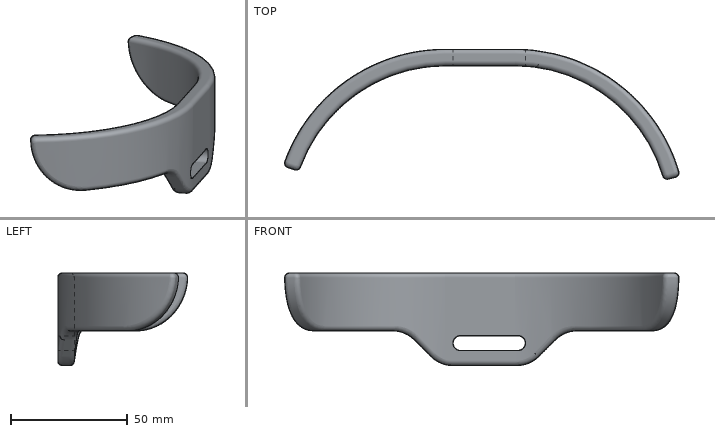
import cadquery as cq
import math

flat_width = 30.0
outer_radius = 73.5
thickness = 7.1
left_sweep = 71.6
right_sweep = 75.1
wing_height = 25.0
total_height = 40.0

tab_center_x = 2.0
tab_bottom_width = 27.5
tab_bend_radius = 13.3
tab_slope = 45.0

slot_center_x = 3.9
slot_center_z = -30.2
slot_length = 31.1
slot_height = 6.3

end_radius = 23.8
edge_radius = 2.0

half_flat = flat_width / 2
inner_radius = outer_radius - thickness


def wing_point(side, radius, angle):
    """Plan point on a wing; side is -1 for left and +1 for right."""
    turn = math.radians(angle)
    x = side * (half_flat + radius * math.sin(turn))
    y = radius * math.cos(turn) - outer_radius
    return (x, y)


def make_band():
    """Full-height band, its straight back lying at y = 0."""
    return (
        cq.Workplane("XY")
        .moveTo(*wing_point(-1, outer_radius, 0))
        .lineTo(*wing_point(1, outer_radius, 0))
        .threePointArc(
            wing_point(1, outer_radius, right_sweep / 2),
            wing_point(1, outer_radius, right_sweep),
        )
        .lineTo(*wing_point(1, inner_radius, right_sweep))
        .threePointArc(
            wing_point(1, inner_radius, right_sweep / 2),
            wing_point(1, inner_radius, 0),
        )
        .lineTo(*wing_point(-1, inner_radius, 0))
        .threePointArc(
            wing_point(-1, inner_radius, left_sweep / 2),
            wing_point(-1, inner_radius, left_sweep),
        )
        .lineTo(*wing_point(-1, outer_radius, left_sweep))
        .threePointArc(
            wing_point(-1, outer_radius, left_sweep / 2),
            wing_point(-1, outer_radius, 0),
        )
        .close()
        .extrude(-total_height)
    )


def make_front_profile():
    """Prism along Y that leaves the wings short and the tab full height."""
    slope = math.radians(tab_slope)
    bend_setback = tab_bend_radius * math.tan(slope / 2)
    bottom_half = tab_bottom_width / 2 + bend_setback
    top_half = bottom_half + (total_height - wing_height) / math.tan(slope)
    reach = half_flat + 2 * outer_radius
    depth = 2 * outer_radius
    prism = (
        cq.Workplane("XZ")
        .polyline([
            (-reach, 0),
            (-reach, -wing_height),
            (tab_center_x - top_half, -wing_height),
            (tab_center_x - bottom_half, -total_height),
            (tab_center_x + bottom_half, -total_height),
            (tab_center_x + top_half, -wing_height),
            (reach, -wing_height),
            (reach, 0),
        ])
        .close()
        .extrude(depth, both=True)
    )
    tab_edges = cq.selectors.BoxSelector(
        (-2 * top_half, -depth, -total_height - 1.7),
        (2 * top_half, depth, -wing_height + 1.7),
    )
    return prism.edges("|Y").edges(tab_edges).fillet(tab_bend_radius)


def round_wing_ends(body):
    """Sweep the lower corner of each wing up to its tip."""
    mid_radius = (outer_radius + inner_radius) / 2
    for side, sweep in ((-1, left_sweep), (1, right_sweep)):
        corner = (*wing_point(side, mid_radius, sweep), -wing_height)
        lower_edge = cq.selectors.NearestToPointSelector(corner)
        body = body.edges(lower_edge).fillet(end_radius)
    return body


def make_slot():
    """Round-ended cutter running through the band along Y."""
    return (
        cq.Workplane("XZ")
        .center(slot_center_x, slot_center_z)
        .slot2D(slot_length, slot_height)
        .extrude(outer_radius, both=True)
    )


body = make_band().intersect(make_front_profile())
body = round_wing_ends(body)
body = body.edges("not |Z").fillet(edge_radius)
result = body.cut(make_slot())